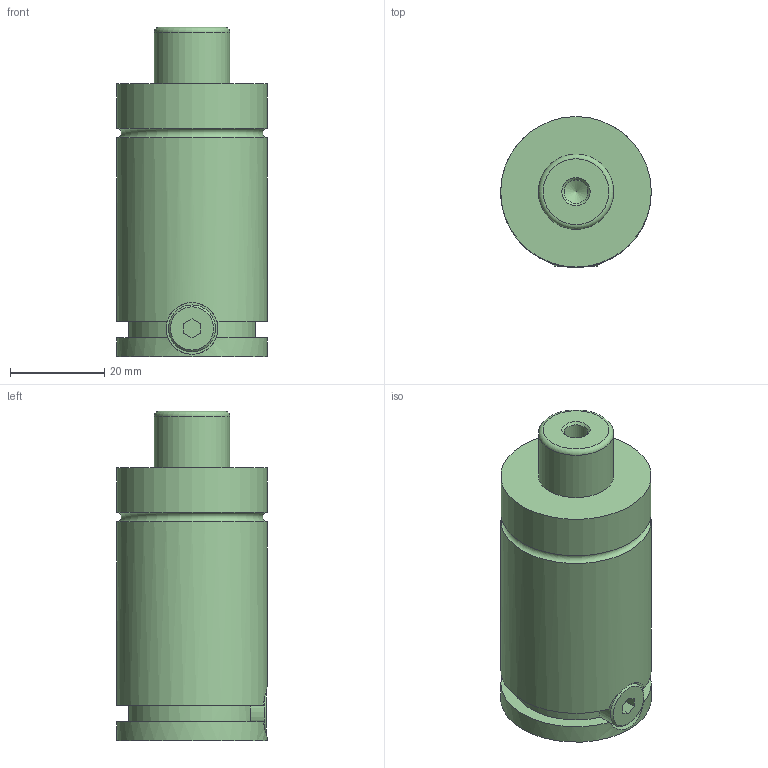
import cadquery as cq
import math

body_diameter = 32.0
body_height = 58.0
total_height = 70.0
rod_diameter = 16.0
rod_fillet = 1.0

ring_groove_radius = 1.0
ring_groove_z = 47.5

clamp_groove_bottom = 4.0
clamp_groove_width = 3.5
clamp_groove_diameter = 27.0

rod_hole_diameter = 5.0
rod_hole_mouth_diameter = 6.0
rod_hole_depth = 12.0
drill_point_angle = 118.0

port_diameter = 11.0
port_z = 6.0
port_floor_y = -11.0
plug_diameter = 10.0
plug_face_y = -15.75
plug_chamfer = 0.4
hex_across_flats = 3.5
hex_sides = 6
hex_depth = 3.0

body_radius = body_diameter / 2


def port_plane(y):
    """Plane across the port axis at the given Y, facing -Y."""
    return cq.Workplane("XZ", origin=(0, y, port_z))


def make_body():
    body = cq.Workplane("XY").circle(body_radius).extrude(body_height)
    rod = cq.Workplane("XY").circle(rod_diameter / 2).extrude(total_height)
    rod = rod.faces(">Z").edges().fillet(rod_fillet)
    return body.union(rod)


def make_ring_groove():
    section = cq.Workplane("XZ").center(body_radius, ring_groove_z).circle(ring_groove_radius)
    return section.revolve(360, (-body_radius, 0), (-body_radius, 1))


def make_clamp_groove():
    base = cq.Workplane("XY", origin=(0, 0, clamp_groove_bottom))
    ring = base.circle(body_radius).circle(clamp_groove_diameter / 2)
    return ring.extrude(clamp_groove_width)


def make_rod_hole():
    hole_radius = rod_hole_diameter / 2
    mouth_radius = rod_hole_mouth_diameter / 2
    mouth_depth = mouth_radius - hole_radius
    point_depth = hole_radius / math.tan(math.radians(drill_point_angle / 2))
    hole_bottom = total_height - rod_hole_depth
    profile = (
        cq.Workplane("XZ")
        .moveTo(0, total_height)
        .lineTo(mouth_radius, total_height)
        .lineTo(hole_radius, total_height - mouth_depth)
        .lineTo(hole_radius, hole_bottom)
        .lineTo(0, hole_bottom - point_depth)
        .close()
    )
    return profile.revolve(360, (0, 0), (0, 1))


def make_port():
    return port_plane(port_floor_y).circle(port_diameter / 2).extrude(body_radius)


def make_plug():
    plug_length = port_floor_y - plug_face_y
    plug = port_plane(port_floor_y).circle(plug_diameter / 2).extrude(plug_length)
    plug = plug.faces("<Y").edges().chamfer(plug_chamfer)
    across_corners = hex_across_flats / math.cos(math.pi / hex_sides)
    hexagon = port_plane(plug_face_y).transformed(rotate=(0, 0, 90)).polygon(hex_sides, across_corners)
    return plug.cut(hexagon.extrude(-hex_depth))


result = make_body()
for cutter in (make_ring_groove(), make_clamp_groove(), make_rod_hole(), make_port()):
    result = result.cut(cutter)
result = result.union(make_plug())